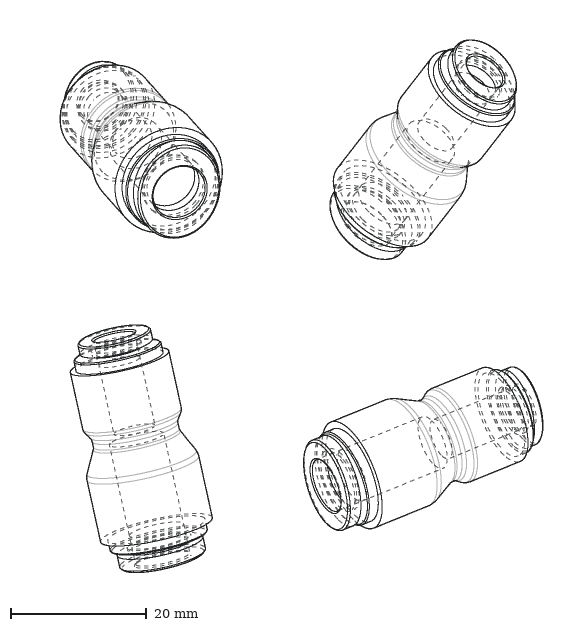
import cadquery as cq


LENGTH = 34.45

SMALL_HEAD_THICKNESS = 1.62
SMALL_STEM_LENGTH = 0.7
SMALL_COLLAR_LENGTH = 1.65
SMALL_HEAD_CHAMFER = 0.25

LARGE_HEAD_THICKNESS = 2.15
LARGE_STEM_LENGTH = 0.72
LARGE_COLLAR_LENGTH = 1.75
LARGE_HEAD_CHAMFER = 0.3

SMALL_HEAD_HEIGHT = 13.0
SMALL_HEAD_WIDTH = 11.0
LARGE_HEAD_HEIGHT = 15.0
LARGE_HEAD_WIDTH = 13.0

SMALL_BORE = 6.2
SMALL_STEM = 7.5
SMALL_COLLAR = 13.15
SMALL_BARREL = 14.9
NECK = 13.0
LARGE_BORE = 8.2
LARGE_STEM = 9.6
LARGE_COLLAR = 14.7
LARGE_BARREL = 16.9

BORE_CHAMFER = 0.25
COLLAR_CHAMFER = 0.2

SMALL_SHOULDER_X = 13.0
NECK_START_X = 14.45
NECK_END_X = 15.88
LARGE_SHOULDER_X = 19.88
SMALL_SHOULDER_RADIUS = 0.93
NECK_START_RADIUS = 1.17
NECK_END_RADIUS = 0.93
LARGE_SHOULDER_RADIUS = 1.9

BODY_START_X = SMALL_HEAD_THICKNESS + SMALL_STEM_LENGTH + SMALL_COLLAR_LENGTH
BODY_END_X = LENGTH - LARGE_HEAD_THICKNESS - LARGE_STEM_LENGTH - LARGE_COLLAR_LENGTH


def at_x(x):
    """Sketch plane across the axis at x, with its normal along +X and its own X along Y."""
    return cq.Workplane("YZ", origin=(x, 0, 0))


def make_sleeve(head_thickness, head_width, head_height, head_chamfer, stem, stem_length, bore):
    """Release sleeve: oval head with its outer face at x = 0, and a round stem towards +X."""
    head = (
        at_x(0)
        .ellipse(head_width / 2, head_height / 2)
        .extrude(head_thickness)
        .faces("<X")
        .chamfer(head_chamfer)
    )
    shank = at_x(head_thickness).circle(stem / 2).extrude(stem_length)
    tube_hole = at_x(0).circle(bore / 2).extrude(head_thickness + stem_length)
    lead_in = cq.Workplane(
        cq.Solid.makeCone(
            bore / 2 + BORE_CHAMFER,
            bore / 2,
            BORE_CHAMFER,
            pnt=cq.Vector(0, 0, 0),
            dir=cq.Vector(1, 0, 0),
        )
    )
    return head.union(shank).cut(tube_hole).cut(lead_in)


def make_collar(start_x, length, diameter, bore, outer_face):
    """Retaining ring; outer_face is the selector of the end with the chamfered rim."""
    ring = at_x(start_x).circle(diameter / 2).extrude(length)
    ring = ring.faces(outer_face).chamfer(COLLAR_CHAMFER)
    return ring.cut(at_x(start_x).circle(bore / 2).extrude(length))


def round_corner(solid, x, radius):
    """Round the circular edge of the body that lies in the plane at x."""
    half_slice = 0.05
    reach = LARGE_BARREL
    slice_box = cq.selectors.BoxSelector(
        (x - half_slice, -reach, -reach),
        (x + half_slice, reach, reach),
        boundingbox=True,
    )
    return solid.edges("%CIRCLE").edges(slice_box).fillet(radius)


def make_body():
    """Waisted body with a blind tube bore in each end and a solid wall at the neck."""
    outline = [
        (BODY_START_X, 0),
        (BODY_START_X, SMALL_BARREL / 2),
        (SMALL_SHOULDER_X, SMALL_BARREL / 2),
        (NECK_START_X, NECK / 2),
        (NECK_END_X, NECK / 2),
        (LARGE_SHOULDER_X, LARGE_BARREL / 2),
        (BODY_END_X, LARGE_BARREL / 2),
        (BODY_END_X, 0),
    ]
    solid = cq.Workplane("XY").polyline(outline).close().revolve(360, (0, 0, 0), (1, 0, 0))
    corners = [
        (SMALL_SHOULDER_X, SMALL_SHOULDER_RADIUS),
        (NECK_START_X, NECK_START_RADIUS),
        (NECK_END_X, NECK_END_RADIUS),
        (LARGE_SHOULDER_X, LARGE_SHOULDER_RADIUS),
    ]
    for x, radius in corners:
        solid = round_corner(solid, x, radius)
    small_hole = at_x(BODY_START_X).circle(SMALL_BORE / 2).extrude(NECK_START_X - BODY_START_X)
    large_hole = at_x(NECK_END_X).circle(LARGE_BORE / 2).extrude(BODY_END_X - NECK_END_X)
    return solid.cut(small_hole).cut(large_hole)


small_sleeve = make_sleeve(
    SMALL_HEAD_THICKNESS,
    SMALL_HEAD_WIDTH,
    SMALL_HEAD_HEIGHT,
    SMALL_HEAD_CHAMFER,
    SMALL_STEM,
    SMALL_STEM_LENGTH,
    SMALL_BORE,
)
large_sleeve = (
    make_sleeve(
        LARGE_HEAD_THICKNESS,
        LARGE_HEAD_WIDTH,
        LARGE_HEAD_HEIGHT,
        LARGE_HEAD_CHAMFER,
        LARGE_STEM,
        LARGE_STEM_LENGTH,
        LARGE_BORE,
    )
    .rotate((0, 0, 0), (0, 0, 1), 180)
    .translate((LENGTH, 0, 0))
)
small_collar = make_collar(
    BODY_START_X - SMALL_COLLAR_LENGTH, SMALL_COLLAR_LENGTH, SMALL_COLLAR, SMALL_BORE, "<X"
)
large_collar = make_collar(BODY_END_X, LARGE_COLLAR_LENGTH, LARGE_COLLAR, LARGE_BORE, ">X")
body = make_body()

result = cq.Compound.makeCompound(
    [
        body.val(),
        small_collar.val(),
        large_collar.val(),
        small_sleeve.val(),
        large_sleeve.val(),
    ]
)